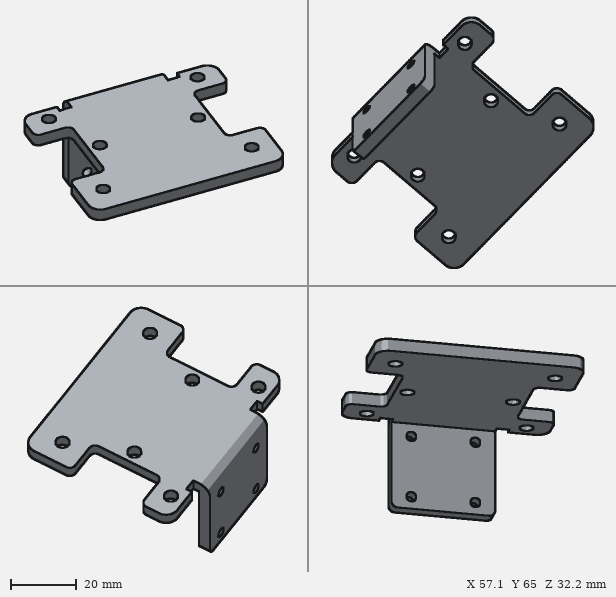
import cadquery as cq

length = 57.1
width = 65.0
height = 32.25
thickness = 4.0

outer_radius = thickness
small_radius = thickness / 2

flange_width = 32.5
relief_depth = thickness / 2
relief_width = 3.9

notch_start = 14.7
notch_end = 39.5
notch_depth = 12.1

plate_hole_diameter = 4.2
tab_hole_x = (8.6, 47.65)
tab_hole_y = 24.95
inner_hole_x = 27.1
inner_hole_y = 16.5

flange_hole_diameter = 3.0
flange_hole_spacing = 20.0
flange_hole_drop = 8.2


def make_plate():
    """Plate with rounded tabs, its top face at Z = 0 and centred on Y = 0."""
    plate_length = length - thickness
    plate = (
        cq.Workplane("XY")
        .box(plate_length, width, thickness, centered=(False, True, False))
        .translate((thickness, 0, -thickness))
        .edges("|Z")
        .fillet(outer_radius)
    )
    for side in (-1, 1):
        notch = cq.Workplane("XY").box(notch_end - notch_start, 2 * notch_depth, 3 * thickness)
        notch_middle = (notch_start + notch_end) / 2
        plate = plate.cut(notch.translate((notch_middle, side * width / 2, 0)))
        for x in (notch_start, notch_end):
            for y in (width / 2 - notch_depth, width / 2):
                corner = cq.NearestToPointSelector((x, side * y, -thickness / 2))
                plate = plate.edges("|Z").edges(corner).fillet(small_radius)

        relief = cq.Workplane("XY").box(2 * relief_depth, relief_width, 3 * thickness)
        relief_y = side * (flange_width + relief_width) / 2
        plate = plate.cut(relief.translate((thickness, relief_y, 0)))
    return plate


def make_bend():
    """Quarter-round bend with a sharp inside corner."""
    return (
        cq.Workplane("XZ")
        .moveTo(thickness, -thickness)
        .lineTo(0, -thickness)
        .radiusArc((thickness, 0), thickness)
        .close()
        .extrude(flange_width / 2, both=True)
    )


def make_flange():
    """Flange hanging below the bend, with rounded lower corners."""
    return (
        cq.Workplane("XY")
        .box(thickness, flange_width, height - thickness, centered=(False, True, False))
        .translate((0, 0, -height))
        .edges("|X and <Z")
        .fillet(small_radius)
    )


def make_plate_holes():
    points = [(x, side * tab_hole_y) for x in tab_hole_x for side in (-1, 1)]
    points += [(inner_hole_x, side * inner_hole_y) for side in (-1, 1)]
    return (
        cq.Workplane("XY")
        .pushPoints(points)
        .circle(plate_hole_diameter / 2)
        .extrude(-thickness)
    )


def make_flange_holes():
    pattern_z = -flange_hole_drop - flange_hole_spacing / 2
    return (
        cq.Workplane("YZ")
        .center(0, pattern_z)
        .rarray(flange_hole_spacing, flange_hole_spacing, 2, 2)
        .circle(flange_hole_diameter / 2)
        .extrude(thickness)
    )


bracket = make_plate().union(make_bend()).union(make_flange())
result = bracket.cut(make_plate_holes()).cut(make_flange_holes())